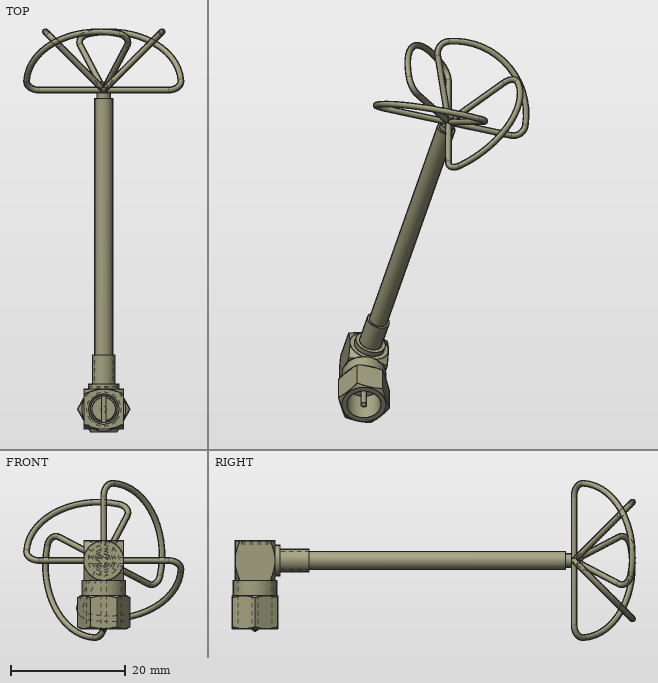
import cadquery as cq
import math


lobe_count = 4
wire_radius = 0.5
lobe_tilt = math.radians(45)
leg_angle = math.radians(110.35)
leg_start = 0.4
trim_length = 4 * wire_radius
bend_radius = 2.2
outer_arc_radius = 12.65
outer_arc_center = (0.89, 1.81)

core_radius = 0.55
core_top_y = 1.45
insulation_radius = 1.2
insulation_top_y = -wire_radius
jacket_radius = 1.6
jacket_top_y = -1.5

connector_y = -55.94
block_size = 7.0
block_chamfer_angle = math.radians(30)
flange_radius = 2.7
flange_length = 0.9
sleeve_radius = 2.0
sleeve_length = 5.1
pin_radius = 0.5
pin_tip_height = 0.3
pin_protrusion = 0.4

cap_radius = 2.35
cap_groove_half_width = 0.3
cap_groove_depth = 0.3
slot_width = 0.75
slot_depth = 0.6

nut_across_flats = 8.0
nut_hex_height = 5.95
collar_radius = 3.85
collar_height = 2.6
nut_bore_radius = 3.0
nut_chamfer_angle = math.radians(30)

block_half = block_size / 2
block_top_z = block_half
nut_top_z = -block_half
hex_top_z = nut_top_z - collar_height
nut_bottom_z = hex_top_z - nut_hex_height
flange_end_y = connector_y + block_half + flange_length
sleeve_end_y = flange_end_y + sleeve_length


def cylinder_along_y(radius, y_low, y_high):
    """Cylinder on the cable axis between two Y positions."""
    axis = cq.Vector(0, 1, 0)
    return cq.Workplane(cq.Solid.makeCylinder(radius, y_high - y_low, cq.Vector(0, y_low, 0), axis))


def cylinder_along_z(radius, z_low, z_high):
    """Cylinder on the connector's vertical axis between two heights."""
    base = cq.Workplane("XY", origin=(0, connector_y, z_low))
    return base.circle(radius).extrude(z_high - z_low)


def bend_on_leg(leg_direction, inward_normal):
    """Bend joining a leg to the outer arc: its start on the leg, middle, and end on the arc."""
    leg = cq.Vector(*leg_direction)
    normal = cq.Vector(*inward_normal)
    arc_center = cq.Vector(*outer_arc_center)
    offset = normal * bend_radius - arc_center
    along = offset.dot(leg)
    reach = outer_arc_radius - bend_radius
    leg_length = -along + math.sqrt(along**2 - offset.dot(offset) + reach**2)
    center = leg * leg_length + normal * bend_radius
    outward = (center - arc_center).normalized()
    middle = center + (outward - normal).normalized() * bend_radius
    return leg * leg_length, middle, center + outward * bend_radius


def lobe_wire():
    """Full loop on the -X side, from the feed point out along one leg and back along the other."""
    cos_angle = math.cos(leg_angle)
    sin_angle = math.sin(leg_angle)
    second_leg = cq.Vector(cos_angle, sin_angle)
    first_bend = bend_on_leg((1, 0), (0, 1))
    second_bend = bend_on_leg((cos_angle, sin_angle), (sin_angle, -cos_angle))
    arc_center = cq.Vector(*outer_arc_center)
    mid_direction = (first_bend[2] + second_bend[2] - arc_center * 2).normalized()
    arc_middle = arc_center + mid_direction * outer_arc_radius

    normal = (0, math.sin(lobe_tilt), -math.cos(lobe_tilt))
    plane = cq.Plane(origin=(0, 0, 0), xDir=(-1, 0, 0), normal=normal)
    path = (
        cq.Workplane(plane)
        .moveTo(leg_start, 0)
        .lineTo(first_bend[0].x, first_bend[0].y)
        .threePointArc(first_bend[1].toTuple()[:2], first_bend[2].toTuple()[:2])
        .threePointArc(arc_middle.toTuple()[:2], second_bend[2].toTuple()[:2])
        .threePointArc(second_bend[1].toTuple()[:2], second_bend[0].toTuple()[:2])
        .lineTo(second_leg.x * leg_start, second_leg.y * leg_start)
    )
    start = cq.Plane(origin=(-leg_start, 0, 0), xDir=(0, 0, 1), normal=(-1, 0, 0))
    return cq.Workplane(start).circle(wire_radius).sweep(path)


def make_lobes():
    """Lobes spaced evenly about Y, each trimmed at the feed point by the core and its neighbours."""
    step = 360 / lobe_count
    core = cylinder_along_y(core_radius, -core_top_y, core_top_y)
    wire = lobe_wire()
    next_wire = wire.rotate((0, 0, 0), (0, 1, 0), step)
    root = cq.Solid.makeCylinder(wire_radius, trim_length, cq.Vector(0, 0, 0), cq.Vector(1, 0, 0))
    opposite_root = cq.Workplane(root)
    lobe = wire.cut(core).cut(next_wire).cut(opposite_root)
    return [lobe.rotate((0, 0, 0), (0, 1, 0), step * index) for index in range(lobe_count)]


def make_cable():
    """Stripped coaxial cable: jacket, insulation and core, ending inside the crimp sleeve."""
    jacket = cylinder_along_y(jacket_radius, flange_end_y, jacket_top_y)
    insulation = cylinder_along_y(insulation_radius, jacket_top_y, insulation_top_y)
    core = cylinder_along_y(core_radius, insulation_top_y, core_top_y)
    return jacket.union(insulation).union(core)


def coned_blank(inner_radius, outer_radius, length, angle):
    """Revolved blank about Z, centred on the origin, with both ends coned down to inner_radius."""
    half = length / 2
    shoulder = half - (outer_radius - inner_radius) * math.tan(angle)
    outline = [
        (0, -half),
        (inner_radius, -half),
        (outer_radius, -shoulder),
        (outer_radius, shoulder),
        (inner_radius, half),
        (0, half),
    ]
    return cq.Workplane("XZ").polyline(outline).close().revolve(360, (0, 0), (0, 1))


def connector_block():
    """Cube whose -Y and +Y ends are coned so that each end face is a full circle."""
    blank = coned_blank(block_half, block_size, block_size, block_chamfer_angle)
    blank = blank.rotate((0, 0, 0), (1, 0, 0), 90)
    cube = cq.Workplane().box(block_size, block_size, block_size)
    return cube.intersect(blank).translate((0, connector_y, 0))


def cap_groove():
    """V-shaped ring that outlines the cap."""
    outline = [
        (cap_radius - cap_groove_half_width, block_top_z),
        (cap_radius, block_top_z - cap_groove_depth),
        (cap_radius + cap_groove_half_width, block_top_z),
    ]
    ring = cq.Workplane("XZ").polyline(outline).close().revolve(360, (0, 0), (0, 1))
    return ring.translate((0, connector_y, 0))


def cap_slot():
    """Screwdriver slot along Y, ending at the cap's edge."""
    bar = cq.Workplane("XY", origin=(0, connector_y, block_top_z - slot_depth))
    bar = bar.rect(slot_width, 2 * cap_radius).extrude(slot_depth)
    return bar.intersect(cylinder_along_z(cap_radius, block_top_z - slot_depth, block_top_z))


def contact_pin():
    """Contact pin with a conical tip, reaching just below the nut."""
    tip_z = nut_bottom_z - pin_protrusion
    outline = [
        (0, hex_top_z),
        (pin_radius, hex_top_z),
        (pin_radius, tip_z + pin_tip_height),
        (0, tip_z),
    ]
    pin = cq.Workplane("XZ").polyline(outline).close().revolve(360, (0, 0), (0, 1))
    return pin.translate((0, connector_y, 0))


def make_connector():
    """Block with its cap, cable flange and crimp sleeve, nut spigot and contact pin."""
    flange = cylinder_along_y(flange_radius, connector_y, flange_end_y)
    sleeve = cylinder_along_y(sleeve_radius, flange_end_y, sleeve_end_y)
    cable_hole = cylinder_along_y(jacket_radius, flange_end_y, sleeve_end_y)
    spigot = cylinder_along_z(nut_bore_radius, hex_top_z, nut_top_z)
    body = connector_block().union(flange).union(sleeve).union(spigot).union(contact_pin())
    return body.cut(cable_hole).cut(cap_groove()).cut(cap_slot())


def make_nut():
    """Hexagonal coupling nut, corners on X, with a round collar above and a through bore."""
    corner_diameter = nut_across_flats / math.cos(math.pi / 6)
    hex_middle_z = (hex_top_z + nut_bottom_z) / 2
    blank = coned_blank(collar_radius, corner_diameter, nut_hex_height, nut_chamfer_angle)
    hexagon = cq.Workplane("XY", origin=(0, 0, -nut_hex_height / 2))
    hexagon = hexagon.polygon(6, corner_diameter).extrude(nut_hex_height).intersect(blank)
    hexagon = hexagon.translate((0, connector_y, hex_middle_z))
    collar = cylinder_along_z(collar_radius, hex_top_z, nut_top_z)
    bore = cylinder_along_z(nut_bore_radius, nut_bottom_z, nut_top_z)
    return hexagon.union(collar).cut(bore)


lobes = make_lobes()
cable = make_cable()
connector = make_connector()
nut = make_nut()

result = cq.Compound.makeCompound(
    [*[lobe.val() for lobe in lobes], cable.val(), connector.val(), nut.val()]
)